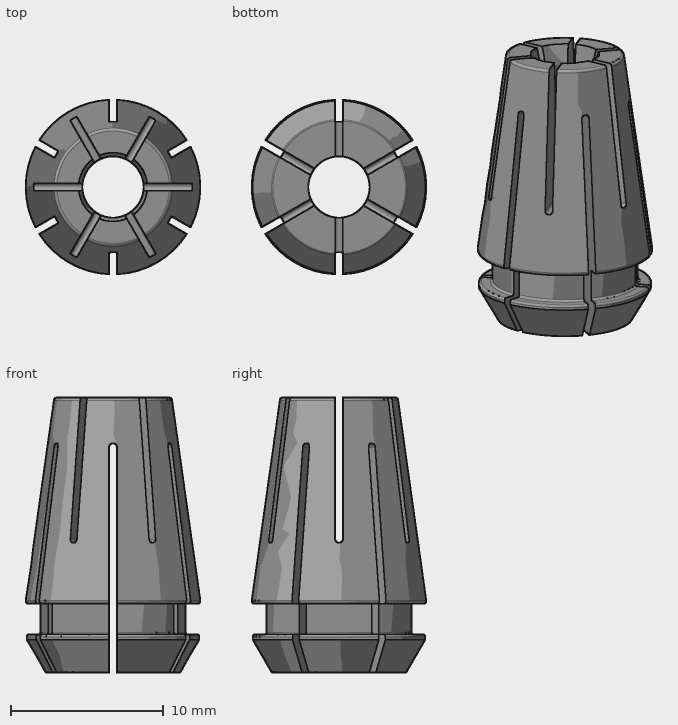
import cadquery as cq
import math

total_height = 18.0
flange_height = 2.5
groove_width = 2.0
cone_base_z = flange_height + groove_width

cone_half_angle = math.radians(8)
flange_half_angle = math.radians(30)
cone_base_radius = 5.75
flange_radius = 5.65
groove_radius = 4.75
foot_radius = 4.4
cone_top_radius = cone_base_radius - (total_height - cone_base_z) * math.tan(cone_half_angle)
flange_rim_z = (flange_radius - foot_radius) / math.tan(flange_half_angle)

edge_round = 0.2
foot_round = 0.1
flange_round = 0.15
groove_round = 0.15

height_tolerance = 0.01

bore_radius = 2.0
mouth_radius = 2.25
mouth_curve_radius = 4.0
mouth_arc_reach = mouth_curve_radius - (mouth_radius - bore_radius)
mouth_depth = math.sqrt(mouth_curve_radius**2 - mouth_arc_reach**2)

slit_width = 0.5
slit_count = 6
slit_spacing = 360 / slit_count
upper_slit_end_z = 8.5
lower_slit_end_z = 15.0
cut_margin = 1.0


def circles_at_height(solid, height):
    """Circular edges of the solid lying at the given height."""
    reach = total_height
    slab = cq.selectors.BoxSelector(
        (-reach, -reach, height - height_tolerance),
        (reach, reach, height + height_tolerance),
    )
    return solid.edges(slab)


def round_circle(solid, height, size_rank, radius):
    """Fillet one circle at a height; size_rank 0 is the smallest there and -1 the largest."""
    circles = circles_at_height(solid, height)
    return circles.edges(cq.selectors.RadiusNthSelector(size_rank)).fillet(radius)


def make_body():
    """Clamping cone, nut groove and extraction flange as one turned body."""
    outline = cq.Workplane("XZ").polyline([
        (0, 0),
        (foot_radius, 0),
        (flange_radius, flange_rim_z),
        (flange_radius, flange_height),
        (groove_radius, flange_height),
        (groove_radius, cone_base_z),
        (cone_base_radius, cone_base_z),
        (cone_top_radius, total_height),
        (0, total_height),
    ]).close()
    body = outline.revolve(360, (0, 0), (0, 1))
    body = round_circle(body, total_height, -1, edge_round)
    body = round_circle(body, cone_base_z, -1, edge_round)
    body = round_circle(body, flange_height, -1, flange_round)
    body = round_circle(body, flange_height, 0, groove_round)
    return round_circle(body, 0, -1, foot_round)


def make_bore():
    """Through bore whose top mouth flares out along an arc tangent to the bore wall."""
    mouth_start_z = total_height - mouth_depth
    half_sweep = math.asin(mouth_depth / mouth_curve_radius) / 2
    arc_middle = (
        bore_radius + mouth_curve_radius * (1 - math.cos(half_sweep)),
        mouth_start_z + mouth_curve_radius * math.sin(half_sweep),
    )
    outline = (
        cq.Workplane("XZ")
        .lineTo(bore_radius, 0)
        .lineTo(bore_radius, mouth_start_z)
        .threePointArc(arc_middle, (mouth_radius, total_height))
        .lineTo(0, total_height)
        .close()
    )
    return outline.revolve(360, (0, 0), (0, 1))


def make_slit(end_z, open_z, angle):
    """Radial slit from the axis outward, with a round closed end whose tip lies at end_z."""
    half_width = slit_width / 2
    toward_open = math.copysign(1, open_z - end_z)
    arc_start_z = end_z + toward_open * half_width
    outline = (
        cq.Workplane("YZ")
        .moveTo(-half_width, open_z)
        .lineTo(-half_width, arc_start_z)
        .threePointArc((0, end_z), (half_width, arc_start_z))
        .lineTo(half_width, open_z)
        .close()
    )
    slit = outline.extrude(cone_base_radius + cut_margin)
    return slit.rotate((0, 0, 0), (0, 0, 1), angle)


result = make_body().cut(make_bore())
for index in range(slit_count):
    upper_angle = index * slit_spacing
    lower_angle = upper_angle + slit_spacing / 2
    result = result.cut(make_slit(upper_slit_end_z, total_height + cut_margin, upper_angle))
    result = result.cut(make_slit(lower_slit_end_z, -cut_margin, lower_angle))